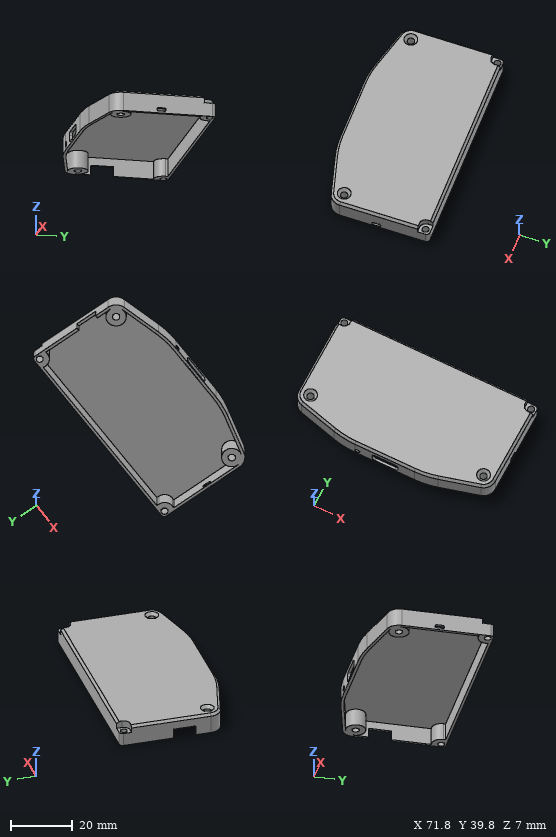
import cadquery as cq
import math

length = 71.85
width = 39.8
height = 7.0
wall = 1.0
half_length = length / 2

rear_corner_radius = 1.2
front_corner_radius = 4.3
front_corner_y = -30.9
slant_angle = math.radians(15)
blend_radius = 31.6

rim_width = 0.85
rim_height = 0.8

rear_hole_inset = 1.8
rear_hole_diameter = 2.2
seat_radius = 2.15
seat_depth = 2.45

front_hole_x = half_length - front_corner_radius
front_hole_diameter = 2.4
countersink_diameter = 4.45
countersink_angle = 90

port_length = 9.35
port_height = 3.4
port_center_x = 0.15
port_center_z = 2.6
port_corner_radius = 1.0
pinhole_diameter = 1.65
pinhole_x = -10.0
pinhole_z = 1.9
notch_rear_y = -18.25
notch_length = 7.55
notch_height = 3.3
notch_corner_radius = 0.35
switch_slot_length = 3.0
switch_slot_height = 1.15
switch_slot_center_z = 1.2


def case_outline(inset):
    """Closed plan outline, moved inward by inset from the outer walls."""
    side = half_length - inset
    front = -width + inset
    rear = -inset
    rear_radius = rear_corner_radius - inset
    corner_radius = front_corner_radius - inset
    curve_radius = blend_radius - inset

    def corner_point(angle):
        return (
            front_hole_x + corner_radius * math.cos(angle),
            front_corner_y + corner_radius * math.sin(angle),
        )

    slant_start = corner_point(slant_angle - math.pi / 2)
    drop_to_front = slant_start[1] - front
    meeting_x = slant_start[0] - drop_to_front / math.tan(slant_angle)
    flat_end_x = meeting_x - curve_radius * math.tan(slant_angle / 2)

    def blend_point(angle):
        return (
            flat_end_x + curve_radius * math.sin(angle),
            front + curve_radius * (1 - math.cos(angle)),
        )

    def mirrored(point):
        return (-point[0], point[1])

    corner_middle = corner_point((slant_angle - math.pi / 2) / 2)
    blend_middle = blend_point(slant_angle / 2)
    blend_end = blend_point(slant_angle)
    rear_bulge = rear_radius * (1 - math.sqrt(0.5))
    rear_middle = (side - rear_bulge, rear - rear_bulge)

    return (
        cq.Workplane("XY")
        .moveTo(-side + rear_radius, rear)
        .lineTo(side - rear_radius, rear)
        .threePointArc(rear_middle, (side, rear - rear_radius))
        .lineTo(side, front_corner_y)
        .threePointArc(corner_middle, slant_start)
        .lineTo(*blend_end)
        .threePointArc(blend_middle, (flat_end_x, front))
        .lineTo(-flat_end_x, front)
        .threePointArc(mirrored(blend_middle), mirrored(blend_end))
        .lineTo(*mirrored(slant_start))
        .threePointArc(mirrored(corner_middle), (-side, front_corner_y))
        .lineTo(-side, rear - rear_radius)
        .threePointArc(mirrored(rear_middle), (-side + rear_radius, rear))
        .close()
    )


def rear_corner_block(side, radius, bottom, top):
    """Upright block over a rear corner, rounded around the screw on its inner edge."""
    reach = rear_hole_inset + radius
    return (
        cq.Workplane("XY")
        .box(2 * reach, 2 * reach, top - bottom)
        .edges("|Z")
        .fillet(radius)
        .translate((side * half_length, 0, (bottom + top) / 2))
    )


def cylinder(x, y, diameter, top):
    return cq.Workplane("XY").center(x, y).circle(diameter / 2).extrude(top)


outer_body = case_outline(0).extrude(height)
body = outer_body.faces(">Z").chamfer(rim_height, rim_width)

cavity = case_outline(wall).extrude(height - wall)
front_pillar_diameter = 2 * (front_corner_radius - wall)
for side in (-1, 1):
    cavity = cavity.cut(rear_corner_block(side, seat_radius + wall, 0, height))
    cavity = cavity.cut(cylinder(side * front_hole_x, front_corner_y, front_pillar_diameter, height))
body = body.cut(cavity)

for side in (-1, 1):
    body = body.cut(rear_corner_block(side, seat_radius, height - seat_depth, height))
    hole_x = side * (half_length - rear_hole_inset)
    body = body.cut(cylinder(hole_x, -rear_hole_inset, rear_hole_diameter, height))

body = (
    body.faces(">Z")
    .workplane(origin=(0, 0, height))
    .pushPoints([(-front_hole_x, front_corner_y), (front_hole_x, front_corner_y)])
    .cskHole(front_hole_diameter, countersink_diameter, countersink_angle)
)

front_wall_y = -width + wall / 2
port = (
    cq.Workplane("XY")
    .box(port_length, 2 * wall, port_height)
    .edges("|Y")
    .fillet(port_corner_radius)
    .translate((port_center_x, front_wall_y, port_center_z))
)
pinhole = (
    cq.Workplane("XZ", origin=(pinhole_x, front_wall_y, pinhole_z))
    .circle(pinhole_diameter / 2)
    .extrude(wall, both=True)
)
body = body.cut(port).cut(pinhole)

side_wall_x = half_length - wall / 2
notch = (
    cq.Workplane("XY")
    .box(2 * wall, notch_length, notch_height)
    .edges("<Y and >Z")
    .fillet(notch_corner_radius)
    .translate((-side_wall_x, notch_rear_y - notch_length / 2, notch_height / 2))
)

switch_slot = (
    cq.Workplane("YZ", origin=(side_wall_x, notch_rear_y, switch_slot_center_z))
    .slot2D(switch_slot_length, switch_slot_height)
    .extrude(wall, both=True)
)

result = body.cut(notch).cut(switch_slot)